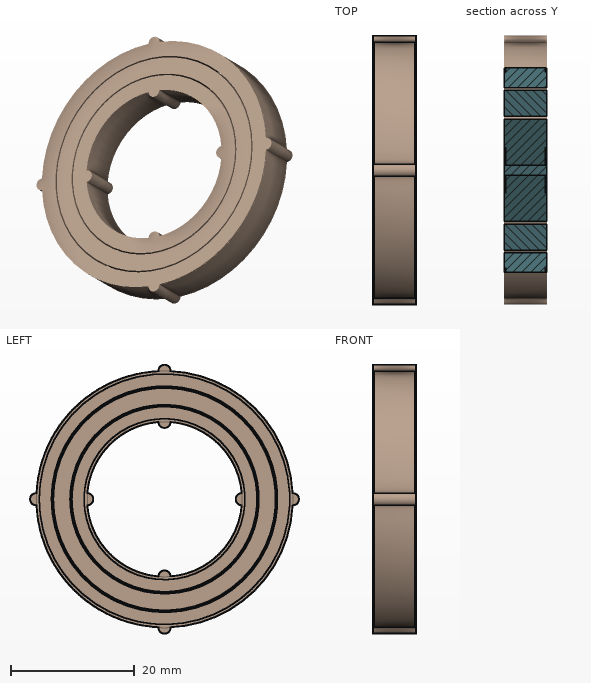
import cadquery as cq

width = 7.0
rib_radius = 1.0
rib_count = 4
hoop_thickness = rib_radius / 2
hoop_width = 0.25

outer_ring_radius = 41.5 / 2
outer_ring_bore_radius = 36.5 / 2
middle_ring_radius = 36.0 / 2
middle_ring_bore_radius = 30.5 / 2
inner_ring_radius = 30 / 2
inner_ring_bore_radius = 25.0 / 2


def disc(radius, length):
    """Solid cylinder on the X axis, centred on the origin."""
    return cq.Workplane("YZ", origin=(-length / 2, 0, 0)).circle(radius).extrude(length)


def tube(outer_radius, inner_radius, length):
    """Hollow cylinder on the X axis, centred on the origin."""
    return disc(outer_radius, length).cut(disc(inner_radius, length))


def hoop_pair(outer_radius, inner_radius):
    """Two narrow hoops, one flush with each side face of the rings."""
    hoop = tube(outer_radius, inner_radius, hoop_width)
    shift = (width - hoop_width) / 2
    return [hoop.translate((side * shift, 0, 0)) for side in (-1, 1)]


def rib_rods(pitch_radius):
    """Full-width round rods, evenly spaced on a circle."""
    base = cq.Workplane("YZ", origin=(-width / 2, 0, 0))
    return base.polarArray(pitch_radius, 0, 360, rib_count).circle(rib_radius).extrude(width)


def make_ring(outer_radius, inner_radius, hoops=()):
    """Full-width ring, with a corner rebate for each hoop."""
    ring = tube(outer_radius, inner_radius, width)
    for hoop in hoops:
        ring = ring.cut(hoop)
    return ring


def make_cage(ribs, hoops):
    """Half-round ribs joined into one piece by the hoops at both ends."""
    cage = ribs
    for hoop in hoops:
        cage = cage.union(hoop, clean=False)
    return cage


rim_hoops = hoop_pair(outer_ring_radius, outer_ring_radius - hoop_thickness)
bore_hoops = hoop_pair(inner_ring_bore_radius + hoop_thickness, inner_ring_bore_radius)

rim_ribs = rib_rods(outer_ring_radius).cut(disc(outer_ring_radius, width))
bore_ribs = rib_rods(inner_ring_bore_radius).intersect(disc(inner_ring_bore_radius, width))

outer_ring = make_ring(outer_ring_radius, outer_ring_bore_radius, rim_hoops)
middle_ring = make_ring(middle_ring_radius, middle_ring_bore_radius)
inner_ring = make_ring(inner_ring_radius, inner_ring_bore_radius, bore_hoops)
outer_cage = make_cage(rim_ribs, rim_hoops)
inner_cage = make_cage(bore_ribs, bore_hoops)

result = cq.Compound.makeCompound([
    outer_ring.val(),
    middle_ring.val(),
    inner_ring.val(),
    *outer_cage.solids().vals(),
    *inner_cage.solids().vals(),
])